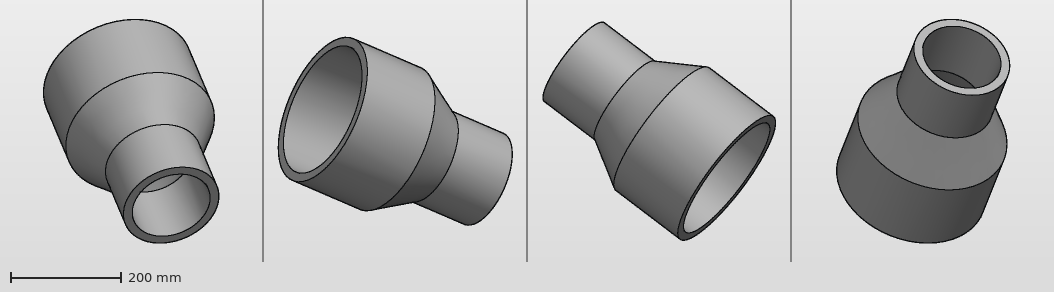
import math

import cadquery as cq

total_length = 357.0
large_length = 150.0
small_length = 120.0
large_outer_diameter = 280.0
large_bore_diameter = 246.7
small_outer_diameter = 180.0
small_bore_diameter = 146.7

cone_start = large_length
cone_end = total_length - small_length

wall = (large_outer_diameter - large_bore_diameter) / 2
cone_drop = (large_outer_diameter - small_outer_diameter) / 2
cone_half_angle = math.atan2(cone_drop, cone_end - cone_start)
bore_cone_shift = wall * math.tan(cone_half_angle / 2)


def reducer_solid(large_diameter, small_diameter, cone_shift):
    """Large cylinder, cone and small cylinder, with the cone moved toward the large end."""
    large_radius = large_diameter / 2
    small_radius = small_diameter / 2
    return (
        cq.Workplane("XY")
        .moveTo(0, 0)
        .lineTo(0, large_radius)
        .lineTo(cone_start - cone_shift, large_radius)
        .lineTo(cone_end - cone_shift, small_radius)
        .lineTo(total_length, small_radius)
        .lineTo(total_length, 0)
        .close()
        .revolve(360, (0, 0, 0), (1, 0, 0))
    )


body = reducer_solid(large_outer_diameter, small_outer_diameter, 0)
bore = reducer_solid(large_bore_diameter, small_bore_diameter, bore_cone_shift)

result = body.cut(bore)